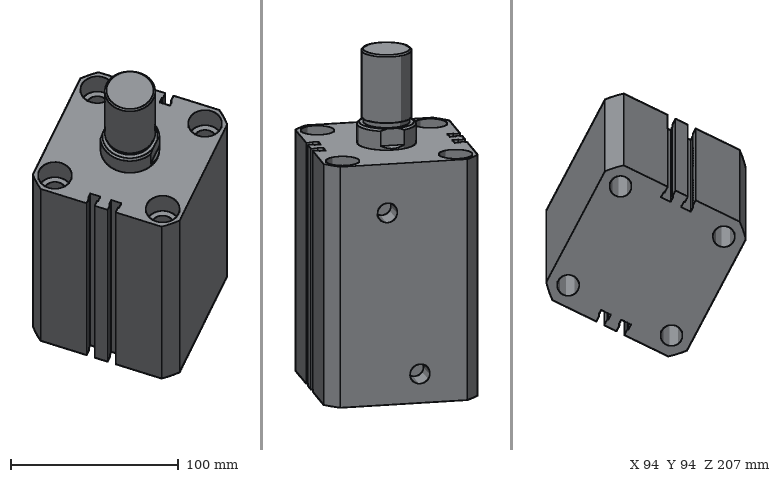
import cadquery as cq

overall_height = 207.0

housing_width = 94.0
housing_height = 149.0
half_width = housing_width / 2
corner_radius = 60.9

mount_pitch = 69.0
mount_hole_diameter = 13.0
counterbore_diameter = 20.0
counterbore_depth = 15.0

slot_spacing = 13.5
slot_mouth_width = 5.2
slot_inner_width = 6.5
slot_mouth_depth = 4.1
slot_depth = 7.7

port_mouth_diameter = 12.0
port_floor_diameter = 11.0
port_depth = 15.0
port_offset = 10.0
lower_port_height = 18.0
upper_port_height = 118.8

collar_diameter = 35.2
collar_height = 12.8
collar_chamfer = 1.2
flat_width = 32.0
flat_base_height = 2.5
neck_diameter = 27.7
neck_height = 3.1
stud_diameter = 30.0
stud_chamfer = 1.0

cutter_clearance = 2.0


def make_slot(center_x, side):
    """Cutter for one T slot along Z; side is -1 for the -Y side and +1 for the +Y side."""
    surface_y = side * half_width
    inner_depth = slot_depth - slot_mouth_depth
    inner_y = side * (half_width - slot_mouth_depth - inner_depth / 2)
    mouth = (
        cq.Workplane("XY")
        .center(center_x, surface_y)
        .rect(slot_mouth_width, 2 * slot_mouth_depth)
        .extrude(housing_height)
    )
    inner = (
        cq.Workplane("XY")
        .center(center_x, inner_y)
        .rect(slot_inner_width, inner_depth)
        .extrude(housing_height)
    )
    return mouth.union(inner)


def make_port(y, z):
    """Cutter for one blind port that tapers inwards from the -X side."""
    profile = [
        (0, 0),
        (port_mouth_diameter / 2, 0),
        (port_floor_diameter / 2, port_depth),
        (0, port_depth),
    ]
    return (
        cq.Workplane("XY")
        .polyline(profile)
        .close()
        .revolve(360, (0, 0, 0), (0, 1, 0))
        .rotate((0, 0, 0), (0, 0, 1), -90)
        .translate((-half_width, y, z))
    )


def make_housing():
    block = cq.Workplane("XY").rect(housing_width, housing_width).extrude(housing_height)
    corner_cylinder = cq.Workplane("XY").circle(corner_radius).extrude(housing_height)
    housing = (
        block.intersect(corner_cylinder)
        .faces(">Z")
        .workplane(origin=(0, 0, housing_height))
        .rect(mount_pitch, mount_pitch, forConstruction=True)
        .vertices()
        .cboreHole(mount_hole_diameter, counterbore_diameter, counterbore_depth)
    )
    for side in (-1, 1):
        for center_x in (-slot_spacing / 2, slot_spacing / 2):
            housing = housing.cut(make_slot(center_x, side))
    housing = housing.cut(make_port(port_offset, upper_port_height))
    return housing.cut(make_port(-port_offset, lower_port_height))


def make_flat_cutter():
    """Cutter for the wrench flat on the +X side of a collar standing on Z = 0.

    The lower end of the flat runs out at 45 degrees.
    """
    flat_x = flat_width / 2
    outer_x = collar_diameter / 2 + cutter_clearance
    profile = [
        (flat_x, collar_height),
        (flat_x, flat_base_height),
        (outer_x, flat_base_height - (outer_x - flat_x)),
        (outer_x, collar_height),
    ]
    return cq.Workplane("XZ").polyline(profile).close().extrude(collar_diameter / 2, both=True)


def make_rod():
    stud_height = overall_height - housing_height - collar_height - neck_height
    collar = cq.Workplane("XY").circle(collar_diameter / 2).extrude(collar_height)
    collar = collar.faces(">Z").edges().chamfer(collar_chamfer)
    flat_cutter = make_flat_cutter()
    collar = collar.cut(flat_cutter).cut(flat_cutter.mirror("YZ"))
    neck = cq.Workplane("XY").circle(neck_diameter / 2).extrude(neck_height)
    stud = cq.Workplane("XY").circle(stud_diameter / 2).extrude(stud_height)
    stud = stud.faces(">Z").edges().chamfer(stud_chamfer)
    rod = collar.union(neck.translate((0, 0, collar_height)))
    rod = rod.union(stud.translate((0, 0, collar_height + neck_height)))
    return rod.translate((0, 0, housing_height))


housing = make_housing()
rod = make_rod()
result = cq.Compound.makeCompound([housing.val(), rod.val()])